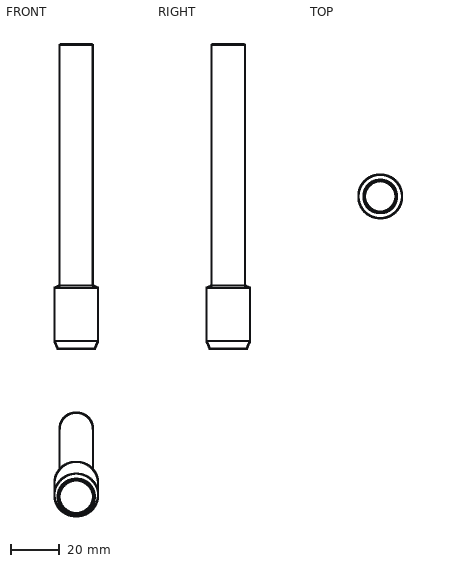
import cadquery as cq

total_length = 125.0
rod_diameter = 13.8
rod_chamfer_height = 0.5
rod_chamfer_inset = 0.6
sleeve_diameter = 18.0
sleeve_length = 26.0
shoulder_height = 1.0
lead_in_height = 3.2
lead_in_inset = 1.4

rod_radius = rod_diameter / 2
sleeve_radius = sleeve_diameter / 2


def make_rod():
    """Full-length round rod with a small chamfer at its top end."""
    profile = [
        (0, 0),
        (rod_radius, 0),
        (rod_radius, total_length - rod_chamfer_height),
        (rod_radius - rod_chamfer_inset, total_length),
        (0, total_length),
    ]
    return cq.Workplane("XZ").polyline(profile).close().revolve(360, (0, 0), (0, 1))


def make_sleeve():
    """Sleeve around the lower rod, with a conical shoulder and a tapered lower end."""
    profile = [
        (rod_radius, 0),
        (sleeve_radius - lead_in_inset, 0),
        (sleeve_radius, lead_in_height),
        (sleeve_radius, sleeve_length - shoulder_height),
        (rod_radius, sleeve_length),
    ]
    return cq.Workplane("XZ").polyline(profile).close().revolve(360, (0, 0), (0, 1))


rod = make_rod()
sleeve = make_sleeve()

result = cq.Compound.makeCompound([rod.val(), sleeve.val()])